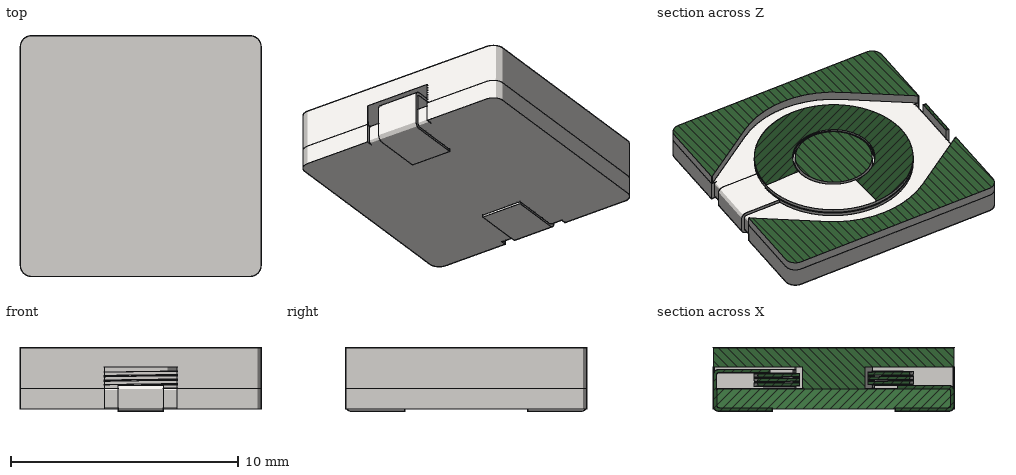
import math
import cadquery as cq

side_length = 10.6
half_side = side_length / 2
corner_radius = 0.5
package_height = 2.8
core_bottom = 0.1
split_height = 1.0

opening_width = 3.2
opening_rim = 0.05
cavity_roof = 1.95
cavity_radius = 4.3
post_diameter = 3.4

lead_width = 2.0
lead_thickness = 0.15
foot_length = 2.6
top_inner_bend = 0.1
foot_outer_bend = 0.25
coil_outer_radius = 3.5
coil_inner_radius = 1.8
wire_height = lead_thickness
coil_pitch = 0.2
coil_turns = 3.5
coil_bottom = split_height
lead_overlap = 0.7

notch_depth = lead_thickness
notch_top_fillet = top_inner_bend
notch_bottom_fillet = 0.15

FRONT = -1
BACK = 1


def core_block(bottom, top):
    """Square block with rounded vertical edges between two heights."""
    return (
        cq.Workplane("XY", origin=(0, 0, bottom))
        .rect(side_length, side_length)
        .extrude(top - bottom)
        .edges("|Z")
        .fillet(corner_radius)
    )


def opening_passage(end):
    """Straight opening in one face, flaring until it is tangent to the round cavity."""
    half_width = opening_width / 2
    flare_y = half_side - opening_rim
    flare_distance = math.hypot(half_width, flare_y)
    tangent_angle = math.atan2(flare_y, half_width) - math.acos(cavity_radius / flare_distance)
    tangent_x = cavity_radius * math.cos(tangent_angle)
    tangent_y = cavity_radius * math.sin(tangent_angle)
    outline = [
        (-half_width, end * half_side),
        (half_width, end * half_side),
        (half_width, end * flare_y),
        (tangent_x, end * tangent_y),
        (-tangent_x, end * tangent_y),
        (-half_width, end * flare_y),
    ]
    return (
        cq.Workplane("XY", origin=(0, 0, split_height))
        .polyline(outline)
        .close()
        .extrude(cavity_roof - split_height)
    )


def make_upper_core():
    """Cap with a round winding cavity, two side openings and a center post."""
    cavity_depth = cavity_roof - split_height
    cavity = cq.Workplane("XY", origin=(0, 0, split_height)).circle(cavity_radius).extrude(cavity_depth)
    for end in (FRONT, BACK):
        cavity = cavity.union(opening_passage(end))
    post = cq.Workplane("XY", origin=(0, 0, split_height)).circle(post_diameter / 2).extrude(cavity_depth)
    return core_block(split_height, package_height).cut(cavity.cut(post))


def notch_cutter(end):
    """Material removed from the lower core where a lead bends around its edge."""
    outer_y = end * half_side
    inner_y = end * (half_side - notch_depth)
    bottom_y = inner_y - end * notch_bottom_fillet
    top_y = inner_y - end * notch_top_fillet
    corner_gap = 1 - math.sqrt(0.5)
    bottom_gap = notch_bottom_fillet * corner_gap
    top_gap = notch_top_fillet * corner_gap
    return (
        cq.Workplane("YZ")
        .moveTo(outer_y, core_bottom)
        .lineTo(bottom_y, core_bottom)
        .threePointArc(
            (inner_y - end * bottom_gap, core_bottom + bottom_gap),
            (inner_y, core_bottom + notch_bottom_fillet),
        )
        .lineTo(inner_y, split_height - notch_top_fillet)
        .threePointArc((inner_y - end * top_gap, split_height - top_gap), (top_y, split_height))
        .lineTo(outer_y, split_height)
        .close()
        .extrude(opening_width / 2, both=True)
    )


def make_lower_core(winding):
    """Base plate with an edge notch at each end and pockets that fit the solder feet."""
    core = core_block(core_bottom, split_height)
    for end in (FRONT, BACK):
        core = core.cut(notch_cutter(end))
    return core.cut(winding)


def make_lead(end, top):
    """Strip that leaves the coil, bends down over the core edge and folds under as a foot."""
    coil_y = coil_outer_radius - lead_overlap
    foot_y = half_side - foot_length
    inner_y = half_side - lead_thickness
    blank = (
        cq.Workplane("YZ")
        .polyline([(foot_y, 0), (half_side, 0), (half_side, top), (foot_y, top)])
        .close()
        .extrude(lead_width / 2, both=True)
    )
    blank = blank.edges("|X and >Y and >Z").fillet(top_inner_bend + lead_thickness)
    blank = blank.edges("|X and >Y and <Z").fillet(foot_outer_bend)
    inside_height = top - 2 * lead_thickness
    inside = (
        cq.Workplane("XY", origin=(0, 0, lead_thickness))
        .rect(lead_width, 2 * inner_y)
        .extrude(inside_height)
    )
    inside = inside.edges("|X and >Y and >Z").fillet(top_inner_bend)
    inside = inside.edges("|X and >Y and <Z").fillet(foot_outer_bend - lead_thickness)
    coil_clearance = (
        cq.Workplane("XY", origin=(0, 0, top - lead_thickness))
        .rect(lead_width, 2 * coil_y)
        .extrude(lead_thickness)
    )
    lead = blank.cut(inside).cut(coil_clearance)
    return lead if end == BACK else lead.mirror("XZ")


def make_coil():
    """Flat wire wound on edge, rising counterclockwise from the front lead to the back lead."""
    path = cq.Wire.makeHelix(coil_pitch, coil_pitch * coil_turns, coil_outer_radius)
    wire_width = coil_outer_radius - coil_inner_radius
    section_center = (coil_inner_radius + wire_width / 2, wire_height / 2)
    return (
        cq.Workplane("XZ")
        .center(*section_center)
        .rect(wire_width, wire_height)
        .sweep(cq.Workplane(path), isFrenet=True)
        .rotate((0, 0, 0), (0, 0, 1), -90)
        .translate((0, 0, coil_bottom))
    )


def make_winding():
    """Coil and its two terminal leads as one continuous conductor."""
    front_top = split_height + lead_thickness
    back_top = coil_bottom + coil_pitch * coil_turns + wire_height
    coil = make_coil()
    return coil.union(make_lead(FRONT, front_top)).union(make_lead(BACK, back_top))


winding = make_winding()
lower_core = make_lower_core(winding)
upper_core = make_upper_core()

result = cq.Compound.makeCompound(
    [lower_core.solids().val(), upper_core.solids().val(), winding.solids().val()]
)